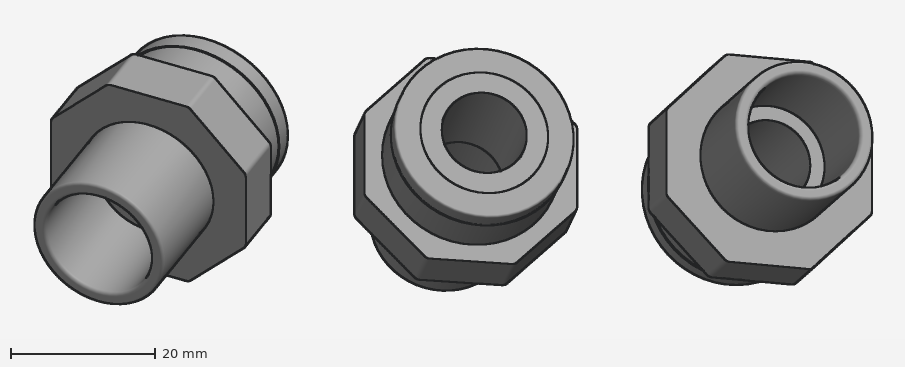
import cadquery as cq
import math

total_length = 34.65
spigot_length = 16.0
octagon_length = 8.0
ring_length = 3.0
octagon_end = spigot_length + octagon_length
ring_start = total_length - ring_length

across_flats = 30.0
octagon_corner_radius = 1.0

spigot_diameter = 20.05
socket_diameter = 25.0
ring_diameter = 25.3
neck_diameter = 18.0

spigot_bore_diameter = 16.15
through_bore_diameter = 12.0
spigot_bore_depth = spigot_length

spigot_outer_fillet = 0.5
spigot_inner_fillet = 0.6
ring_outer_fillet = 0.3


def cylinder(diameter, start, end):
    """Solid cylinder on the Y axis between two Y positions."""
    return (
        cq.Workplane("XZ", origin=(0, start, 0))
        .circle(diameter / 2)
        .extrude(start - end)
    )


def octagon_grip():
    """Octagonal prism with flats facing X and Z and rounded corners."""
    sides = 8
    half_corner_angle = 180 / sides
    across_corners = across_flats / math.cos(math.radians(half_corner_angle))
    return (
        cq.Workplane("XZ", origin=(0, spigot_length, 0))
        .transformed(rotate=(0, 0, half_corner_angle))
        .polygon(sides, across_corners)
        .extrude(-octagon_length)
        .edges("|Y")
        .fillet(octagon_corner_radius)
    )


def spigot():
    """Plain tube end with its outer rim rounded."""
    return (
        cylinder(spigot_diameter, 0, spigot_length)
        .faces("<Y")
        .edges()
        .fillet(spigot_outer_fillet)
    )


def make_main_body():
    """Spigot, octagonal grip, socket barrel and ring neck, bored right through."""
    body = (
        spigot()
        .union(octagon_grip())
        .union(cylinder(socket_diameter, octagon_end, ring_start))
        .union(cylinder(neck_diameter, ring_start, total_length))
    )
    body = body.cut(cylinder(through_bore_diameter, 0, total_length))
    body = body.cut(cylinder(spigot_bore_diameter, 0, spigot_bore_depth))
    inner_rim = body.faces("<Y").edges(cq.selectors.RadiusNthSelector(0))
    return inner_rim.fillet(spigot_inner_fillet)


def make_ring():
    """Reinforcing ring seated on the neck, flush with the end of the main body."""
    return (
        cylinder(ring_diameter, ring_start, total_length)
        .faces(">Y")
        .edges()
        .fillet(ring_outer_fillet)
        .cut(cylinder(neck_diameter, ring_start, total_length))
    )


main_body = make_main_body()
ring = make_ring()

result = cq.Compound.makeCompound([main_body.solids().val(), ring.solids().val()])